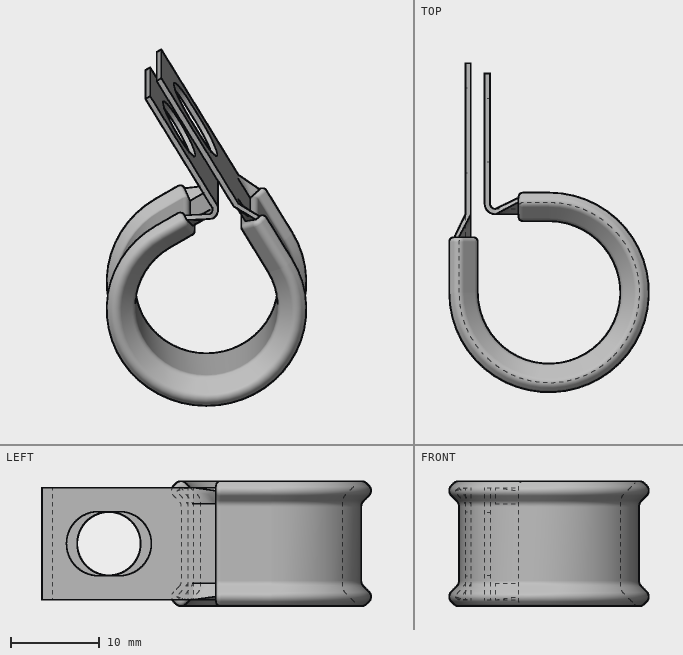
import cadquery as cq
import math

BORE_RADIUS = 8.0
GROOVE_RADIUS = 10.15
LIP_DIAMETER = 22.45
LIP_RADIUS = LIP_DIAMETER / 2
CUSHION_HEIGHT = 14.05
LIP_HEIGHT = 5.95
LIP_ROUND = 0.78
GROOVE_ROUND = 0.85
BORE_ROUND = 1.2
WRAP_ANGLE = 270.0
SLOTTED_RUN = 6.2
DRILLED_RUN = 3.45
END_ROUND = 0.5

STRAP_THICKNESS = 0.63
STRAP_WIDTH = 12.6
STRAP_OUTER_RADIUS = 9.4
NECK_LENGTH = 2.6
EAR_WIDTH = 1.85
EAR_RISE = 1.37
BEND_INNER_RADIUS = 0.6

OVERALL_LENGTH = 37.0
SLOTTED_TAB_END = OVERALL_LENGTH - LIP_RADIUS
DRILLED_TAB_END = 24.6
HOLE_Y = 18.25
HOLE_DIAMETER = 7.1
SLOT_WIDTH = 7.2
SLOT_LENGTH = 9.55

STRAP_INNER_RADIUS = STRAP_OUTER_RADIUS - STRAP_THICKNESS
Z_AXIS = (cq.Vector(0, 0, 0), cq.Vector(0, 0, 1))


def cushion_profile():
    """Channel section in the XZ plane, its lips flared outward at 45 degrees."""
    overshoot = LIP_ROUND * (math.sqrt(2) - 1)
    tip_radius = LIP_RADIUS + overshoot
    crest_height = CUSHION_HEIGHT / 2 + overshoot
    crest_radius = tip_radius - (crest_height - LIP_HEIGHT)
    upper_corners = [
        (GROOVE_RADIUS, LIP_HEIGHT - (tip_radius - GROOVE_RADIUS), GROOVE_ROUND),
        (tip_radius, LIP_HEIGHT, LIP_ROUND),
        (crest_radius, crest_height, LIP_ROUND),
        (BORE_RADIUS, crest_height - (crest_radius - BORE_RADIUS), BORE_ROUND),
    ]
    lower_corners = [(r, -z, rounding) for r, z, rounding in reversed(upper_corners)]
    corners = upper_corners + lower_corners
    outline = cq.Wire.makePolygon([cq.Vector(r, 0, z) for r, z, _ in corners], close=True)
    face = cq.Face.makeFromWires(outline)
    for r, z, rounding in corners:
        corner = cq.Vector(r, 0, z)
        vertex = min(face.Vertices(), key=lambda v: (v.Center() - corner).Length)
        face = face.fillet2D(rounding, [vertex])
    return face


def straight_run(profile, direction, end_selector):
    """Straight stretch of cushion with its free end rounded over."""
    run = cq.Workplane(obj=cq.Solid.extrudeLinear(profile, cq.Vector(*direction)))
    return run.faces(end_selector).edges().fillet(END_ROUND)


def cushion():
    profile = cushion_profile()
    slotted_side = profile.rotate(*Z_AXIS, 180)
    drilled_side = profile.rotate(*Z_AXIS, 90)
    ring = cq.Workplane(obj=cq.Solid.revolve(slotted_side, WRAP_ANGLE, *Z_AXIS))
    ring = ring.union(straight_run(slotted_side, (0, SLOTTED_RUN, 0), ">Y"))
    return ring.union(straight_run(drilled_side, (-DRILLED_RUN, 0, 0), "<X"))


def ear():
    """Upper strap margin that twists from flat, at +Y, to flared, at Y = 0."""
    hinge_z = STRAP_WIDTH / 2 - EAR_WIDTH
    edge_z = STRAP_WIDTH / 2
    flare = math.atan2(EAR_RISE, EAR_WIDTH)
    inner_tip = -STRAP_INNER_RADIUS - EAR_RISE
    hinge = [(-STRAP_INNER_RADIUS, hinge_z), (-STRAP_OUTER_RADIUS, hinge_z)]
    flared = hinge + [
        (inner_tip - STRAP_THICKNESS * math.cos(flare), edge_z - STRAP_THICKNESS * math.sin(flare)),
        (inner_tip, edge_z),
    ]
    flat = hinge + [(-STRAP_OUTER_RADIUS, edge_z), (-STRAP_INNER_RADIUS, edge_z)]
    sections = [
        cq.Wire.makePolygon([cq.Vector(x, y, z) for x, z in points], close=True)
        for points, y in ((flared, 0), (flat, NECK_LENGTH))
    ]
    return cq.Workplane(obj=cq.Solid.makeLoft(sections, True))


def neck():
    """Strap between the cushion end, at Y = 0, and the start of the flat tab."""
    web = cq.Workplane().box(
        STRAP_THICKNESS, NECK_LENGTH, STRAP_WIDTH - 2 * EAR_WIDTH, centered=(False, False, True)
    ).translate((-STRAP_OUTER_RADIUS, 0, 0))
    upper_ear = ear()
    return web.union(upper_ear).union(upper_ear.mirror("XY"))


def tab(left_x, start_y, end_y):
    return cq.Workplane().box(
        STRAP_THICKNESS, end_y - start_y, STRAP_WIDTH, centered=(False, False, True)
    ).translate((left_x, start_y, 0))


def slotted_strap():
    start_y = SLOTTED_RUN + NECK_LENGTH
    slot = (
        cq.Workplane("YZ", origin=(-STRAP_OUTER_RADIUS, HOLE_Y, 0))
        .slot2D(SLOT_LENGTH, SLOT_WIDTH)
        .extrude(STRAP_THICKNESS)
    )
    plate = tab(-STRAP_OUTER_RADIUS, start_y, SLOTTED_TAB_END).cut(slot)
    return plate.union(neck().translate((0, SLOTTED_RUN, 0)))


def drilled_strap():
    bend_outer_radius = BEND_INNER_RADIUS + STRAP_THICKNESS
    bend_x = -DRILLED_RUN - NECK_LENGTH
    bend_y = STRAP_INNER_RADIUS + bend_outer_radius
    left_x = bend_x - bend_outer_radius
    bend = (
        cq.Workplane(origin=(bend_x, bend_y, -STRAP_WIDTH / 2))
        .circle(bend_outer_radius)
        .circle(BEND_INNER_RADIUS)
        .extrude(STRAP_WIDTH)
    )
    bend_quarter = cq.Workplane().box(
        bend_outer_radius, bend_outer_radius, STRAP_WIDTH, centered=(False, False, True)
    ).translate((left_x, STRAP_INNER_RADIUS, 0))
    hole = (
        cq.Workplane("YZ", origin=(left_x, HOLE_Y, 0))
        .circle(HOLE_DIAMETER / 2)
        .extrude(STRAP_THICKNESS)
    )
    plate = tab(left_x, bend_y, DRILLED_TAB_END).cut(hole)
    turned_neck = neck().translate((0, DRILLED_RUN, 0)).rotate(*Z_AXIS, -90).mirror("YZ")
    return plate.union(bend.intersect(bend_quarter)).union(turned_neck)


result = cushion().union(slotted_strap()).union(drilled_strap())